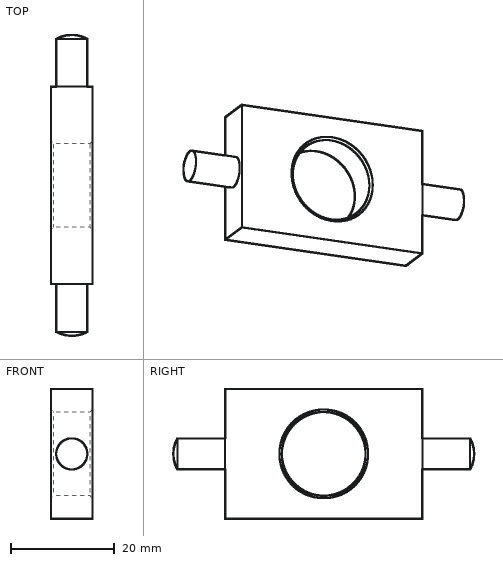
import cadquery as cq
import math

plate_thickness = 8.0
plate_length = 38.0
plate_height = 25.0

bore_diameter = 16.1
bore_chamfer = 0.5

overall_length = 58.0
pin_diameter = 6.0
dome_radius = pin_diameter


def make_plate():
    """Rectangular plate with a through bore chamfered at both mouths."""
    plate = cq.Workplane("XY").box(plate_thickness, plate_length, plate_height)
    bored = plate.faces(">X").workplane().hole(bore_diameter)
    return bored.faces("<X or >X").edges("%CIRCLE").chamfer(bore_chamfer)


def make_pin():
    """Pin on the +Y end of the plate, revolved about Y, with a spherical tip."""
    pin_radius = pin_diameter / 2
    root_y = plate_length / 2
    tip_y = overall_length / 2
    dome_centre_y = tip_y - dome_radius
    shoulder_y = dome_centre_y + math.sqrt(dome_radius**2 - pin_radius**2)

    mid_angle = math.asin(pin_radius / dome_radius) / 2
    arc_mid = (
        dome_radius * math.sin(mid_angle),
        dome_centre_y + dome_radius * math.cos(mid_angle),
    )

    return (
        cq.Workplane("XY")
        .moveTo(0, root_y)
        .lineTo(pin_radius, root_y)
        .lineTo(pin_radius, shoulder_y)
        .threePointArc(arc_mid, (0, tip_y))
        .close()
        .revolve(360, (0, 0, 0), (0, 1, 0))
    )


pin = make_pin()
result = make_plate().union(pin).union(pin.mirror("XZ"))